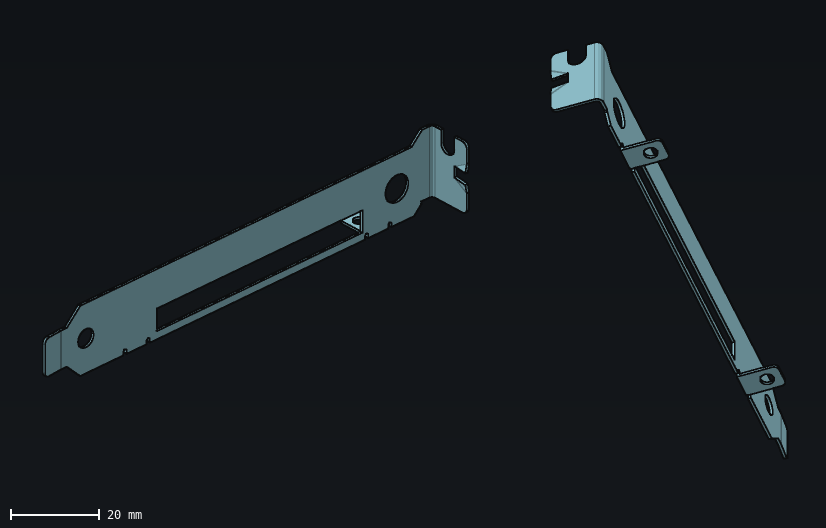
import cadquery as cq
import math


sheet = 0.762
bracket_length = 120.87
plate_width = 18.42
mid_height = plate_width / 2

flange_rise = 3.19
flange_bottom = 2.95
flange_top = plate_width + flange_rise
flange_reach = 12.12
flange_corner_radius = 1.5
bend_inner_radius = 0.85
bend_outer_radius = bend_inner_radius + sheet
shoulder_start = 3.9
lower_shoulder_start = 4.05
lower_shoulder_drop = 2.3

screw_slot_width = 4.32
screw_slot_x = 5.83
screw_slot_bottom = 16.1

notch_width = 2.95
notch_floor_x = 8.0
notch_mid_z = 12.475
ear_height = 2.4
ear_angle = 13

tongue_width = 10.19
tongue_low = mid_height - tongue_width / 2
tongue_high = mid_height + tongue_width / 2
tongue_corner_radius = 1.3
shoulder_end = 113.65
tongue_bend_start = 115.45
tongue_bend_radius = 4.0
tongue_tilt = 4.5

large_hole_diameter = 7.0
large_hole_distance = 11.66
large_hole_z = 9.4
small_hole_diameter = 4.75
small_hole_distance = 107.8
small_hole_z = mid_height
window_start = 22.3
window_length = 63.5
window_bottom = 2.2
window_height = 5.84

lug_distances = (17.4, 92.1)
lug_reach = 9.0
lug_width = 6.2
lug_corner_radius = 1.2
lug_hole_diameter = 3.17
lug_hole_x = -5.4
relief_width = 1.0
relief_depth = 1.4


def make_plate():
    """Flat plate with its 45-degree shoulders, ending where the tongue bends."""
    return (
        cq.Workplane("YZ")
        .moveTo(-bend_outer_radius, flange_bottom)
        .lineTo(-lower_shoulder_start, flange_bottom)
        .lineTo(-lower_shoulder_start, lower_shoulder_drop)
        .lineTo(-lower_shoulder_start - lower_shoulder_drop, 0)
        .lineTo(-shoulder_end + tongue_low, 0)
        .lineTo(-shoulder_end, tongue_low)
        .lineTo(-tongue_bend_start, tongue_low)
        .lineTo(-tongue_bend_start, tongue_high)
        .lineTo(-shoulder_end, tongue_high)
        .lineTo(-shoulder_end + tongue_low, plate_width)
        .lineTo(-shoulder_start - flange_rise, plate_width)
        .lineTo(-shoulder_start, flange_top)
        .lineTo(-bend_outer_radius, flange_top)
        .close()
        .extrude(sheet)
    )


def make_tongue():
    """Tilted tongue with rounded tip corners, joined to the plate by a gentle bend."""
    convex_radius = tongue_bend_radius + sheet
    tilt = math.radians(tongue_tilt)

    def bend_point(radius, angle):
        """Point on the bend, measured around the bend centre from the plate's end."""
        return (
            convex_radius - radius * math.cos(angle),
            -tongue_bend_start - radius * math.sin(angle),
        )

    convex_end = bend_point(convex_radius, tilt)
    concave_end = bend_point(tongue_bend_radius, tilt)
    straight_drop = bracket_length + convex_end[1]
    straight_shift = straight_drop * math.tan(tilt)
    return (
        cq.Workplane("XY", origin=(0, 0, tongue_low))
        .moveTo(0, -tongue_bend_start)
        .threePointArc(bend_point(convex_radius, tilt / 2), convex_end)
        .lineTo(convex_end[0] + straight_shift, -bracket_length)
        .lineTo(concave_end[0] + straight_shift, concave_end[1] - straight_drop)
        .lineTo(*concave_end)
        .threePointArc(bend_point(tongue_bend_radius, tilt / 2), (sheet, -tongue_bend_start))
        .close()
        .extrude(tongue_width)
        .faces("<Y")
        .edges("not |Z")
        .fillet(tongue_corner_radius)
    )


def make_flange_bend():
    """Quarter-round bend joining the plate to the flange."""
    diagonal = math.sqrt(0.5)
    centre = bend_outer_radius
    return (
        cq.Workplane("XY", origin=(0, 0, flange_bottom))
        .moveTo(0, -centre)
        .threePointArc(
            (centre - bend_outer_radius * diagonal, -centre + bend_outer_radius * diagonal),
            (centre, 0),
        )
        .lineTo(centre, -sheet)
        .threePointArc(
            (centre - bend_inner_radius * diagonal, -centre + bend_inner_radius * diagonal),
            (sheet, -centre),
        )
        .close()
        .extrude(flange_top - flange_bottom)
    )


def make_flange():
    """Flat flange with rounded outer corners, the screw slot and the flared side notch."""
    blank = (
        cq.Workplane("XY")
        .box(
            flange_reach - bend_outer_radius,
            sheet,
            flange_top - flange_bottom,
            centered=False,
        )
        .translate((bend_outer_radius, -sheet, flange_bottom))
        .edges("|Y and >X")
        .fillet(flange_corner_radius)
    )
    slot_radius = screw_slot_width / 2
    slot_centre_z = screw_slot_bottom + slot_radius
    screw_slot = (
        cq.Workplane("XZ")
        .moveTo(screw_slot_x - slot_radius, flange_top)
        .lineTo(screw_slot_x - slot_radius, slot_centre_z)
        .threePointArc((screw_slot_x, screw_slot_bottom), (screw_slot_x + slot_radius, slot_centre_z))
        .lineTo(screw_slot_x + slot_radius, flange_top)
        .close()
        .extrude(sheet)
    )
    half_notch = notch_width / 2
    flared_notch = (
        cq.Workplane("XZ")
        .moveTo(notch_floor_x, notch_mid_z - half_notch)
        .lineTo(flange_reach, notch_mid_z - half_notch - ear_height)
        .lineTo(flange_reach, notch_mid_z + half_notch + ear_height)
        .lineTo(notch_floor_x, notch_mid_z + half_notch)
        .close()
        .extrude(sheet)
    )
    return blank.cut(screw_slot).cut(flared_notch)


def make_upper_ear():
    """Triangular ear bent toward -Y about a sloped crease on the flange's inner face."""
    crease_z = notch_mid_z + notch_width / 2
    crease_start = cq.Vector(notch_floor_x, -sheet, crease_z)
    crease_end = cq.Vector(flange_reach, -sheet, crease_z + ear_height)
    crease = crease_end - crease_start
    triangle = (
        cq.Workplane("XZ")
        .moveTo(notch_floor_x, crease_z)
        .lineTo(flange_reach, crease_z)
        .lineTo(flange_reach, crease_z + ear_height)
        .close()
        .extrude(sheet)
        .rotate(crease_start.toTuple(), crease_end.toTuple(), -ear_angle)
    )
    crease_plane = cq.Plane(origin=crease_start, xDir=crease, normal=cq.Vector(0, 1, 0).cross(crease))
    wedge = (
        cq.Workplane(crease_plane)
        .rect(crease.Length, -sheet, centered=False)
        .revolve(ear_angle, (0, 0), (-1, 0))
    )
    return triangle.union(wedge)


def make_ears():
    """Upper ear and its mirror image below the notch."""
    upper = make_upper_ear()
    lower = upper.mirror("XY", (0, 0, notch_mid_z))
    return upper.union(lower)


def plate_hole(distance, height, diameter):
    """Round cutter through the plate."""
    return cq.Workplane("YZ").center(-distance, height).circle(diameter / 2).extrude(sheet)


def make_window():
    """Cutter for the long rectangular opening."""
    return (
        cq.Workplane("XY")
        .box(sheet, window_length, window_height, centered=False)
        .translate((0, -window_start - window_length, window_bottom))
    )


def make_lug(distance):
    """Horizontal lug with rounded corners and a screw hole."""
    screw_hole = cq.Workplane("XY").center(lug_hole_x, -distance).circle(lug_hole_diameter / 2).extrude(sheet)
    return (
        cq.Workplane("XY")
        .box(lug_reach, lug_width, sheet, centered=(False, True, False))
        .translate((-lug_reach, -distance, 0))
        .edges("|Z and <X")
        .fillet(lug_corner_radius)
        .cut(screw_hole)
    )


def make_relief(distance):
    """Round-topped relief notch cut up from the plate's lower edge."""
    radius = relief_width / 2
    return (
        cq.Workplane("YZ")
        .moveTo(-distance - radius, 0)
        .lineTo(-distance - radius, relief_depth - radius)
        .threePointArc((-distance, relief_depth), (-distance + radius, relief_depth - radius))
        .lineTo(-distance + radius, 0)
        .close()
        .extrude(sheet)
    )


flange = make_flange().union(make_ears())
bracket = make_plate().union(make_tongue()).union(make_flange_bend()).union(flange)
bracket = bracket.cut(plate_hole(large_hole_distance, large_hole_z, large_hole_diameter))
bracket = bracket.cut(plate_hole(small_hole_distance, small_hole_z, small_hole_diameter))
bracket = bracket.cut(make_window())

relief_offset = (lug_width + relief_width) / 2
for lug_distance in lug_distances:
    bracket = bracket.union(make_lug(lug_distance))
    for side in (-1, 1):
        bracket = bracket.cut(make_relief(lug_distance + side * relief_offset))

result = bracket